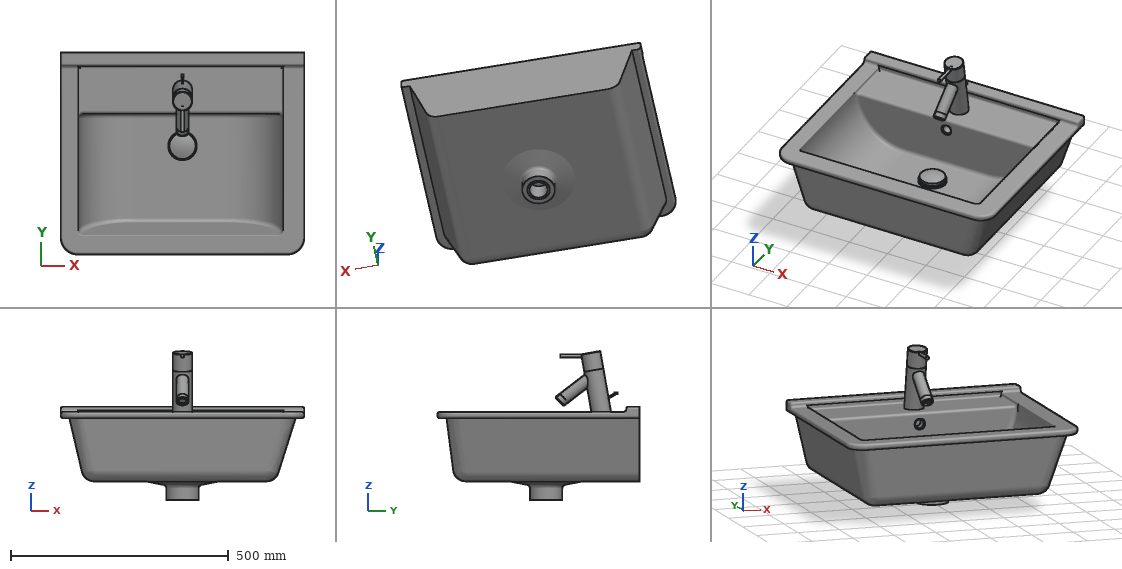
import cadquery as cq
import math


RIM_WIDTH = 560
RIM_DEPTH = 465
RIM_THICKNESS = 15
RIM_CORNER_RADIUS = 40
RIM_BOTTOM_ROUND = 7
LEDGE_HEIGHT = 12
LEDGE_FLAT_DEPTH = 26
LEDGE_NOSE_RADIUS = 5
LEDGE_HOLLOW_RADIUS = LEDGE_HEIGHT - LEDGE_NOSE_RADIUS
LEDGE_END_ROUND = 6

BODY_BOTTOM_Z = -160
BODY_TOP_LEFT = -260
BODY_TOP_RIGHT = 260
BODY_TOP_FRONT = -444
BODY_BOTTOM_LEFT = -226
BODY_BOTTOM_RIGHT = 214
BODY_BOTTOM_FRONT = -425.5
BODY_ROUND = 30

BOWL_LEFT = -239
BOWL_RIGHT = 231
BOWL_BACK = -141
BOWL_FRONT = -420
BOWL_FLOOR_Z = -130
BOWL_FLOOR_FRONT = -389
BOWL_SIDE_RADIUS = 127.5
BOWL_EDGE_ROUND = 10
BOWL_RIM_ROUND = 2
DECK_Z = -8
DECK_BACK = -32
DECK_EDGE_ROUND = 7
DECK_INNER_ROUND = 5

OVERFLOW_X = (BOWL_LEFT + BOWL_RIGHT) / 2
OVERFLOW_DIAMETER = 20
OVERFLOW_MOUTH_DIAMETER = 26
OVERFLOW_DEPTH = 25
OVERFLOW_Z = -35

DRAIN_Y = -215
OUTLET_DIAMETER = 75
OUTLET_BOTTOM_Z = -202.5
OUTLET_CONE_DIAMETER = 168
OUTLET_CONE_HEIGHT = 9
OUTLET_NECK_ROUND = 7
DRAIN_HOLE_DIAMETER = 52
FLANGE_DIAMETER = 66
FLANGE_THICKNESS = 4
DRAIN_BORE_DIAMETER = 42
PLUG_DIAMETER = 60
PLUG_LIFT = 2
PLUG_EDGE_HEIGHT = 6.5
PLUG_DOME_HEIGHT = 6
PLUG_NECK_DEPTH = 30

OVERALL_HEIGHT = 342.4
TAP_LEAN = 10
TAP_BASE_Y = -88.5
TAP_DIAMETER = 45
TAP_BODY_TOP_DIAMETER = 44
TAP_BODY_LENGTH = 97.5
TAP_CAP_TOP_DIAMETER = 42
TAP_TOP_Z = OUTLET_BOTTOM_Z + OVERALL_HEIGHT
LEVER_DIAMETER = 8
LEVER_Z = 128.5
LEVER_TIP_Y = -182.8
LEVER_INSERT = 10
SPOUT_DIAMETER = 28
SPOUT_SLOPE = 37.5
SPOUT_TIP_Y = -183.2
SPOUT_TIP_Z = 24.5
SPOUT_MOUTH_SLOPE = 45
SPOUT_LENGTH = 90
AERATOR_DIAMETER = 24
AERATOR_BORE = 20
AERATOR_LENGTH = 14
AERATOR_PROUD = 2
AERATOR_BORE_DEPTH = 6

ROD_DIAMETER = 4
KNOB_DIAMETER = 5
KNOB_BACK_Y = -50.5
KNOB_LENGTH = 8
KNOB_Z = 42.5
ROD_SLOPE = 30
ROD_LENGTH = 25

CUT_CLEARANCE = 20
POSITION_TOLERANCE = 0.1


def lean_direction():
    """Unit vector up the leaning tap axis."""
    lean = math.radians(TAP_LEAN)
    return cq.Vector(0, -math.sin(lean), math.cos(lean))


def forward_and_down(slope_angle):
    """Unit vector pointing to the front and sloping down by the given angle."""
    slope = math.radians(slope_angle)
    return cq.Vector(0, -math.cos(slope), -math.sin(slope))


TAP_AXIS = lean_direction()
TAP_BASE = cq.Vector(0, TAP_BASE_Y, 0)
SPOUT_TIP = cq.Vector(0, SPOUT_TIP_Y, SPOUT_TIP_Z)


def cylinder(diameter, length, start, direction):
    return cq.Workplane(obj=cq.Solid.makeCylinder(diameter / 2, length, start, direction))


def make_rim():
    """Rim slab with rounded front corners and a rolled outer edge, plus the ledge at the wall."""
    slab = (
        cq.Workplane("XY", origin=(0, -RIM_DEPTH / 2, -RIM_THICKNESS))
        .rect(RIM_WIDTH, RIM_DEPTH)
        .extrude(RIM_THICKNESS)
        .edges("|Z and <Y")
        .fillet(RIM_CORNER_RADIUS)
    )
    nose_y = -LEDGE_FLAT_DEPTH - LEDGE_NOSE_RADIUS
    toe_y = nose_y - LEDGE_HOLLOW_RADIUS
    diagonal = math.sqrt(0.5)
    ledge = (
        cq.Workplane("YZ", origin=(-RIM_WIDTH / 2, 0, 0))
        .moveTo(0, -RIM_THICKNESS / 2)
        .lineTo(0, LEDGE_HEIGHT)
        .lineTo(-LEDGE_FLAT_DEPTH, LEDGE_HEIGHT)
        .threePointArc(
            (
                -LEDGE_FLAT_DEPTH - LEDGE_NOSE_RADIUS * diagonal,
                LEDGE_HEIGHT - LEDGE_NOSE_RADIUS * (1 - diagonal),
            ),
            (nose_y, LEDGE_HEIGHT - LEDGE_NOSE_RADIUS),
        )
        .threePointArc(
            (
                toe_y + LEDGE_HOLLOW_RADIUS * diagonal,
                LEDGE_HOLLOW_RADIUS * (1 - diagonal),
            ),
            (toe_y, 0),
        )
        .lineTo(toe_y, -RIM_THICKNESS / 2)
        .close()
        .extrude(RIM_WIDTH)
    )
    rim = slab.union(ledge, clean=True)
    end_edges = rim.faces("<X or >X").edges().filter(lambda e: e.Center().z > -1)
    front_edges = rim.faces("<Y").edges(">Z")
    rim = rim.newObject(end_edges.vals() + front_edges.vals()).fillet(LEDGE_END_ROUND)
    return rim.faces("<Z").edges("not >Y").fillet(RIM_BOTTOM_ROUND)


def make_body():
    """Tapered tub under the rim, flat against the wall and rounded at the front and bottom."""
    tub = (
        cq.Workplane("XY", origin=(0, 0, BODY_BOTTOM_Z))
        .polyline(
            [
                (BODY_BOTTOM_LEFT, 0),
                (BODY_BOTTOM_RIGHT, 0),
                (BODY_BOTTOM_RIGHT, BODY_BOTTOM_FRONT),
                (BODY_BOTTOM_LEFT, BODY_BOTTOM_FRONT),
            ]
        )
        .close()
        .workplane(offset=-RIM_THICKNESS - BODY_BOTTOM_Z)
        .polyline(
            [
                (BODY_TOP_LEFT, 0),
                (BODY_TOP_RIGHT, 0),
                (BODY_TOP_RIGHT, BODY_TOP_FRONT),
                (BODY_TOP_LEFT, BODY_TOP_FRONT),
            ]
        )
        .close()
        .loft(ruled=True)
    )
    rounded = tub.faces("<Y").edges("not >Z").vals() + tub.faces("<Z").edges("|Y").vals()
    return tub.newObject(rounded).fillet(BODY_ROUND)


def make_outlet():
    """Shallow cone and pipe stub under the bowl."""
    neck_radius = OUTLET_DIAMETER / 2
    cone_bottom_z = BODY_BOTTOM_Z - OUTLET_CONE_HEIGHT
    outlet = (
        cq.Workplane("XZ", origin=(0, DRAIN_Y, 0))
        .moveTo(0, BODY_BOTTOM_Z)
        .lineTo(OUTLET_CONE_DIAMETER / 2, BODY_BOTTOM_Z)
        .lineTo(neck_radius, cone_bottom_z)
        .lineTo(neck_radius, OUTLET_BOTTOM_Z)
        .lineTo(0, OUTLET_BOTTOM_Z)
        .close()
        .revolve(360, (0, 0, 0), (0, 1, 0))
    )
    neck = outlet.edges("%CIRCLE").filter(
        lambda edge: abs(edge.Center().z - cone_bottom_z) < POSITION_TOLERANCE
    )
    return outlet.newObject(neck.vals()).fillet(OUTLET_NECK_ROUND)


def make_bowl_void():
    """Trough with quarter-round sides, closed by an upright back and a sloping front wall."""
    shoulder_z = BOWL_FLOOR_Z + BOWL_SIDE_RADIUS
    front_slope = (BOWL_FRONT - BOWL_FLOOR_FRONT) / -BOWL_FLOOR_Z
    front_top_y = BOWL_FRONT + front_slope * CUT_CLEARANCE
    swing = BOWL_SIDE_RADIUS * (1 - math.sqrt(0.5))
    floor_left = BOWL_LEFT + BOWL_SIDE_RADIUS
    floor_right = BOWL_RIGHT - BOWL_SIDE_RADIUS
    trough = (
        cq.Workplane("XZ", origin=(0, BOWL_BACK, 0))
        .moveTo(BOWL_LEFT, CUT_CLEARANCE)
        .lineTo(BOWL_LEFT, shoulder_z)
        .threePointArc((BOWL_LEFT + swing, BOWL_FLOOR_Z + swing), (floor_left, BOWL_FLOOR_Z))
        .lineTo(floor_right, BOWL_FLOOR_Z)
        .threePointArc((BOWL_RIGHT - swing, BOWL_FLOOR_Z + swing), (BOWL_RIGHT, shoulder_z))
        .lineTo(BOWL_RIGHT, CUT_CLEARANCE)
        .close()
        .extrude(BOWL_BACK - front_top_y)
    )
    side_profile = (
        cq.Workplane("YZ", origin=(BOWL_LEFT, 0, 0))
        .polyline(
            [
                (BOWL_BACK, CUT_CLEARANCE),
                (BOWL_BACK, BOWL_FLOOR_Z),
                (BOWL_FLOOR_FRONT, BOWL_FLOOR_Z),
                (front_top_y, CUT_CLEARANCE),
            ]
        )
        .close()
        .extrude(BOWL_RIGHT - BOWL_LEFT)
    )
    void = trough.intersect(side_profile)
    return void.faces("<Y or >Y").edges("not >Z").fillet(BOWL_EDGE_ROUND)


def make_deck_void():
    """Shallow recess behind the bowl where the tap stands."""
    return (
        cq.Workplane("XY", origin=(0, 0, DECK_Z))
        .moveTo(BOWL_LEFT, DECK_BACK)
        .lineTo(BOWL_RIGHT, DECK_BACK)
        .lineTo(BOWL_RIGHT, BOWL_BACK - BOWL_EDGE_ROUND)
        .lineTo(BOWL_LEFT, BOWL_BACK - BOWL_EDGE_ROUND)
        .close()
        .extrude(LEDGE_HEIGHT - LEDGE_NOSE_RADIUS - DECK_Z)
        .faces("<Z")
        .edges("not <Y")
        .fillet(DECK_INNER_ROUND)
    )


def make_overflow():
    """Overflow hole in the bowl's back wall, with a flared mouth."""
    flare = (OVERFLOW_MOUTH_DIAMETER - OVERFLOW_DIAMETER) / 2
    return (
        cq.Workplane("XZ", origin=(OVERFLOW_X, BOWL_BACK + OVERFLOW_DEPTH, OVERFLOW_Z))
        .circle(OVERFLOW_DIAMETER / 2)
        .extrude(OVERFLOW_DEPTH)
        .union(
            cq.Workplane("XZ", origin=(OVERFLOW_X, BOWL_BACK + flare, OVERFLOW_Z))
            .circle(OVERFLOW_DIAMETER / 2)
            .workplane(offset=flare)
            .circle(OVERFLOW_MOUTH_DIAMETER / 2)
            .loft()
        )
    )


def is_front_mouth_edge(edge):
    """True for the edge where the bowl's front wall meets the rim's top face."""
    center = edge.Center()
    return abs(center.z) < POSITION_TOLERANCE and abs(center.y - BOWL_FRONT) < POSITION_TOLERANCE


def is_deck_front_edge(edge):
    """True for the edge where the tap deck drops into the bowl."""
    center = edge.Center()
    return abs(center.z - DECK_Z) < POSITION_TOLERANCE and abs(center.y - BOWL_BACK) < POSITION_TOLERANCE


def make_basin():
    basin = make_rim().union(make_body()).union(make_outlet())
    basin = basin.cut(make_bowl_void()).cut(make_deck_void())
    deck_edge = basin.edges("|X").filter(is_deck_front_edge)
    basin = basin.newObject(deck_edge.vals()).fillet(DECK_EDGE_ROUND)
    mouth_edge = basin.edges("|X").filter(is_front_mouth_edge)
    basin = basin.newObject(mouth_edge.vals()).fillet(BOWL_RIM_ROUND)
    basin = basin.cut(make_overflow())
    drain_hole = cylinder(
        DRAIN_HOLE_DIAMETER,
        BOWL_FLOOR_Z - OUTLET_BOTTOM_Z,
        cq.Vector(0, DRAIN_Y, OUTLET_BOTTOM_Z),
        cq.Vector(0, 0, 1),
    )
    return basin.cut(drain_hole)


def make_drain_fitting():
    """Flange on the bowl floor with a sleeve down through the outlet."""
    return (
        cq.Workplane("XY", origin=(0, DRAIN_Y, OUTLET_BOTTOM_Z))
        .circle(DRAIN_HOLE_DIAMETER / 2)
        .extrude(BOWL_FLOOR_Z - OUTLET_BOTTOM_Z)
        .faces(">Z")
        .workplane()
        .circle(FLANGE_DIAMETER / 2)
        .extrude(FLANGE_THICKNESS)
        .faces(">Z")
        .workplane()
        .hole(DRAIN_BORE_DIAMETER)
    )


def make_plug():
    """Domed plug raised slightly above the flange on a neck that fills the bore."""
    flange_top_z = BOWL_FLOOR_Z + FLANGE_THICKNESS
    rim_bottom_z = flange_top_z + PLUG_LIFT
    rim_top_z = rim_bottom_z + PLUG_EDGE_HEIGHT
    crown_z = rim_top_z + PLUG_DOME_HEIGHT
    rim_radius = PLUG_DIAMETER / 2
    neck_radius = DRAIN_BORE_DIAMETER / 2
    dome_radius = (rim_radius**2 + PLUG_DOME_HEIGHT**2) / (2 * PLUG_DOME_HEIGHT)
    half_angle = math.asin(rim_radius / dome_radius) / 2
    neck_bottom_z = flange_top_z - PLUG_NECK_DEPTH
    return (
        cq.Workplane("XZ", origin=(0, DRAIN_Y, 0))
        .moveTo(0, neck_bottom_z)
        .lineTo(neck_radius, neck_bottom_z)
        .lineTo(neck_radius, rim_bottom_z)
        .lineTo(rim_radius, rim_bottom_z)
        .lineTo(rim_radius, rim_top_z)
        .threePointArc(
            (dome_radius * math.sin(half_angle), crown_z - dome_radius * (1 - math.cos(half_angle))),
            (0, crown_z),
        )
        .close()
        .revolve(360, (0, 0, 0), (0, 1, 0))
    )


def make_lever():
    """Straight horizontal lever set into the front of the cap."""
    joint_y = TAP_BASE_Y - LEVER_Z * math.tan(math.radians(TAP_LEAN)) - TAP_DIAMETER / 2
    root_y = joint_y + LEVER_INSERT
    return cylinder(
        LEVER_DIAMETER,
        root_y - LEVER_TIP_Y,
        cq.Vector(0, root_y, LEVER_Z),
        cq.Vector(0, -1, 0),
    )


def make_cap(lever):
    """Turning cap on top of the tap body, with its top edge chamfered."""
    lean = math.radians(TAP_LEAN)
    highest_offset = TAP_CAP_TOP_DIAMETER / 2 * math.sin(lean)
    axis_length = (TAP_TOP_Z - highest_offset) / math.cos(lean)
    cap = cylinder(
        TAP_DIAMETER,
        axis_length - TAP_BODY_LENGTH,
        TAP_BASE + TAP_AXIS * TAP_BODY_LENGTH,
        TAP_AXIS,
    )
    cap = cap.edges(">Z").chamfer((TAP_DIAMETER - TAP_CAP_TOP_DIAMETER) / 2)
    return cap.cut(lever)


def make_aerator_blank():
    """Solid outline of the aerator, which is also the shape of its socket in the spout."""
    axis = forward_and_down(SPOUT_MOUTH_SLOPE)
    return cylinder(
        AERATOR_DIAMETER,
        AERATOR_LENGTH,
        SPOUT_TIP - axis * (AERATOR_LENGTH - AERATOR_PROUD),
        axis,
    )


def make_aerator():
    """Round insert with a blind bore, standing slightly proud of the spout mouth."""
    axis = forward_and_down(SPOUT_MOUTH_SLOPE)
    bore = cylinder(
        AERATOR_BORE,
        AERATOR_BORE_DEPTH,
        SPOUT_TIP + axis * (AERATOR_PROUD - AERATOR_BORE_DEPTH),
        axis,
    )
    return make_aerator_blank().cut(bore)


def make_rod():
    """Pop-up rod: a level knob and a sloping stem running down into the tap body."""
    knob = cylinder(
        KNOB_DIAMETER, KNOB_LENGTH, cq.Vector(0, KNOB_BACK_Y, KNOB_Z), cq.Vector(0, -1, 0)
    )
    stem = cylinder(
        ROD_DIAMETER,
        ROD_LENGTH,
        cq.Vector(0, KNOB_BACK_Y - KNOB_LENGTH / 2, KNOB_Z),
        forward_and_down(ROD_SLOPE),
    )
    return knob.union(stem)


def make_tap_body(cap, rod):
    """Leaning column cut level at the deck, with the spout branching off its front."""
    column = cylinder(
        TAP_DIAMETER,
        TAP_BODY_LENGTH + CUT_CLEARANCE,
        TAP_BASE - TAP_AXIS * CUT_CLEARANCE,
        TAP_AXIS,
    )
    column = column.edges(">Z").chamfer((TAP_DIAMETER - TAP_BODY_TOP_DIAMETER) / 2)
    axis = forward_and_down(SPOUT_SLOPE)
    spout = cylinder(
        SPOUT_DIAMETER,
        SPOUT_LENGTH + CUT_CLEARANCE,
        SPOUT_TIP - axis * SPOUT_LENGTH,
        axis,
    )
    beyond_mouth = cylinder(
        2 * SPOUT_DIAMETER,
        2 * CUT_CLEARANCE,
        SPOUT_TIP,
        forward_and_down(SPOUT_MOUTH_SLOPE),
    )
    spout = spout.cut(beyond_mouth)
    below_deck = (
        cq.Workplane("XY", origin=(0, TAP_BASE_Y, DECK_Z))
        .circle(TAP_DIAMETER)
        .extrude(-2 * CUT_CLEARANCE)
    )
    return column.union(spout).cut(below_deck).cut(make_aerator_blank()).cut(cap).cut(rod)


basin = make_basin()
drain_fitting = make_drain_fitting()
plug = make_plug()
lever = make_lever()
cap = make_cap(lever)
aerator = make_aerator()
rod = make_rod()
tap_body = make_tap_body(cap, rod)

result = cq.Compound.makeCompound(
    [
        basin.val(),
        drain_fitting.val(),
        plug.val(),
        tap_body.val(),
        cap.val(),
        lever.val(),
        aerator.val(),
        rod.val(),
    ]
)